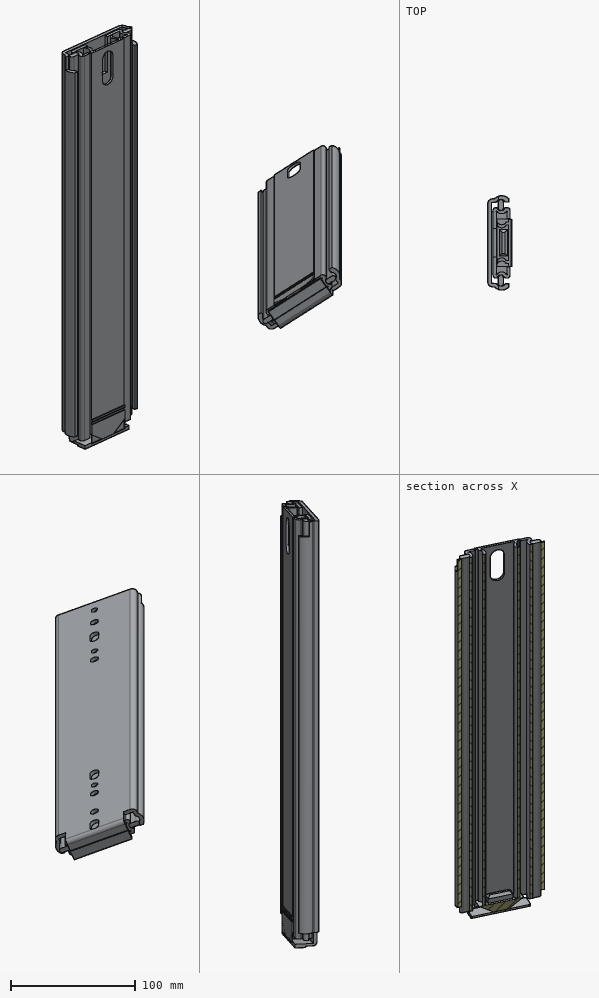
import cadquery as cq

LENGTH = 355.5
HALF_WIDTH = 38.0
DEPTH = 19.5

CAGE_X = 10.5
CAGE_RADIUS = 2.0
CAGE_BOTTOM = 8.2
CAGE_SEAT_Y = 26.0
CAGE_TIP_Y = 35.0

OUTER_SHEET = 3.2
OUTER_BOTTOM = 14.5
OUTER_CORNER_RADIUS = 4.3
FLANGE_Y = 35.5
RACE_X = 11.5
RACE_HALF_WIDTH = 5.7
SEAT_HALF_WIDTH = 3.5
LIP_END_Y = 32.7
NOTCH_HEIGHT = 12.0
NOTCH_X = 9.0
NOTCH_WALL_Y = 28.5

TONGUE_WIDTH = 50.5
TONGUE_END_X = 18.0
TONGUE_FLOOR = 1.0
TONGUE_SHEET = 2.0
TONGUE_BEND_RADIUS = 3.5
PAD_START_X = 9.5

SMALL_HOLE_DIAMETER = 5.5
LARGE_HOLE_DIAMETER = 6.8
SLOT_WIDTH = 7.5
SLOT_LENGTH = 13.0
SMALL_HOLES_Z = (343.0, 280.0, 72.5)
LARGE_HOLES_Z = (324.3, 266.7, 59.7, 31.3)
SLOTS_Z = (302.0, 88.5, 11.5)

MIDDLE_BOTTOM = CAGE_BOTTOM
MIDDLE_FLANGE_Y = 28.5
MIDDLE_BACK_X = 4.3
MIDDLE_INSIDE_X = 7.0
MIDDLE_FRONT_X = 18.0
MIDDLE_SHEET = 2.5
MIDDLE_CORNER_RADIUS = 2.5
GROOVE_HALF_WIDTH = 3.2
MIDDLE_LIP_END_Y = 19.5
MIDDLE_SHOULDER_Y = 25.5
CUTOUT_HEIGHT = 32.0
CUTOUT_WIDTH = 22.8

INNER_BOTTOM = 11.5
INNER_FRONT_X = 19.0
INNER_SHEET = 2.0
INNER_HALF_WIDTH = 19.0
INNER_RACE_X = 11.5
INNER_RACE_HALF_WIDTH = 3.5
INNER_RACE_DEPTH = 2.0
INNER_SHOULDER_Y = 16.7
INNER_RACE_SHEET = 2.5
RIDGES = ((3.2, 20.3), (22.5, 24.5))
BUMPER_BACK_X = 7.5
BUMPER_BOTTOM = 3.2
BUMPER_TOP_WIDTH = 38.5
BUMPER_BOTTOM_WIDTH = 14.2
STOP_X = (9.5, 16.0)
STOP_WIDTH = 21.5
STOP_TOP = 17.8
STOP_CHAMFER = 2.0
WINDOW_WIDTH = 12.0
WINDOW_Z = (320.8, 350.5)


def extrude_section(half_outline, bottom):
    """Close a +Y half outline along Y = 0, mirror it and extrude it up to the top of the slide."""
    half = half_outline.close().extrude(LENGTH - bottom)
    return half.union(half.mirror("XZ"))


def box_between(x_range, width, z_range):
    """Box centred on Y = 0."""
    x_min, x_max = x_range
    z_min, z_max = z_range
    box = cq.Workplane("XY").box(x_max - x_min, width, z_max - z_min, centered=(False, True, False))
    return box.translate((x_min, 0, z_min))


def holes_along_x(diameter, heights):
    """Cutting cylinders through the full depth at the given heights."""
    return cq.Workplane("YZ").pushPoints([(0, z) for z in heights]).circle(diameter / 2).extrude(DEPTH)


def outer_section():
    race_start_x = RACE_X - RACE_HALF_WIDTH
    race_end_x = RACE_X + RACE_HALF_WIDTH
    bend_offset = OUTER_CORNER_RADIUS * (1 - 0.5**0.5)
    return (
        cq.Workplane("XY", origin=(0, 0, OUTER_BOTTOM))
        .lineTo(0, FLANGE_Y - OUTER_CORNER_RADIUS)
        .threePointArc((bend_offset, FLANGE_Y - bend_offset), (OUTER_CORNER_RADIUS, FLANGE_Y))
        .lineTo(race_start_x, FLANGE_Y)
        .threePointArc((RACE_X, HALF_WIDTH), (race_end_x, FLANGE_Y))
        .lineTo(race_end_x, LIP_END_Y)
        .lineTo(CAGE_X + SEAT_HALF_WIDTH, LIP_END_Y)
        .threePointArc((CAGE_X, CAGE_TIP_Y), (CAGE_X - SEAT_HALF_WIDTH, LIP_END_Y))
        .lineTo(OUTER_SHEET, FLANGE_Y - OUTER_SHEET)
        .lineTo(OUTER_SHEET, 0)
    )


def make_tongue():
    web = box_between((0, OUTER_SHEET), TONGUE_WIDTH, (TONGUE_FLOOR, OUTER_BOTTOM))
    floor = box_between((0, TONGUE_END_X), TONGUE_WIDTH, (TONGUE_FLOOR, TONGUE_FLOOR + TONGUE_SHEET))
    bent = web.union(floor).edges("|Y and <X and <Z").fillet(TONGUE_BEND_RADIUS)
    pad = box_between((PAD_START_X, TONGUE_END_X), TONGUE_WIDTH, (0, TONGUE_FLOOR))
    return bent.union(pad)


def make_outer():
    rail = extrude_section(outer_section(), OUTER_BOTTOM).union(make_tongue())
    notch_height_range = (LENGTH - NOTCH_HEIGHT, LENGTH)
    notch = box_between((NOTCH_X, DEPTH), 2 * HALF_WIDTH, notch_height_range)
    notch = notch.cut(box_between((NOTCH_X, DEPTH), 2 * NOTCH_WALL_Y, notch_height_range))
    web_slots = (
        cq.Workplane("YZ")
        .pushPoints([(0, z) for z in SLOTS_Z])
        .slot2D(SLOT_LENGTH, SLOT_WIDTH, 90)
        .extrude(OUTER_SHEET)
    )
    rail = rail.cut(notch).cut(web_slots)
    rail = rail.cut(holes_along_x(SMALL_HOLE_DIAMETER, SMALL_HOLES_Z))
    return rail.cut(holes_along_x(LARGE_HOLE_DIAMETER, LARGE_HOLES_Z))


def middle_section():
    bend_offset = MIDDLE_CORNER_RADIUS * (1 - 0.5**0.5)
    bend_y = MIDDLE_FLANGE_Y - MIDDLE_CORNER_RADIUS
    lip_inner_x = MIDDLE_FRONT_X - MIDDLE_SHEET
    underside_x = (MIDDLE_INSIDE_X + lip_inner_x) / 2
    return (
        cq.Workplane("XY", origin=(0, 0, MIDDLE_BOTTOM))
        .moveTo(MIDDLE_BACK_X, 0)
        .lineTo(MIDDLE_BACK_X, bend_y)
        .threePointArc(
            (MIDDLE_BACK_X + bend_offset, MIDDLE_FLANGE_Y - bend_offset),
            (MIDDLE_BACK_X + MIDDLE_CORNER_RADIUS, MIDDLE_FLANGE_Y),
        )
        .lineTo(CAGE_X - GROOVE_HALF_WIDTH, MIDDLE_FLANGE_Y)
        .threePointArc((CAGE_X, CAGE_SEAT_Y), (CAGE_X + GROOVE_HALF_WIDTH, MIDDLE_FLANGE_Y))
        .lineTo(MIDDLE_FRONT_X - MIDDLE_CORNER_RADIUS, MIDDLE_FLANGE_Y)
        .threePointArc(
            (MIDDLE_FRONT_X - bend_offset, MIDDLE_FLANGE_Y - bend_offset),
            (MIDDLE_FRONT_X, bend_y),
        )
        .lineTo(MIDDLE_FRONT_X, MIDDLE_LIP_END_Y)
        .lineTo(lip_inner_x, MIDDLE_LIP_END_Y)
        .lineTo(lip_inner_x, MIDDLE_SHOULDER_Y)
        .threePointArc((underside_x, CAGE_SEAT_Y - MIDDLE_SHEET), (MIDDLE_INSIDE_X, MIDDLE_SHOULDER_Y))
        .lineTo(MIDDLE_INSIDE_X, 0)
    )


def make_middle():
    rail = extrude_section(middle_section(), MIDDLE_BOTTOM)
    cutout = box_between((MIDDLE_BACK_X, MIDDLE_INSIDE_X), CUTOUT_WIDTH, (LENGTH - CUTOUT_HEIGHT, LENGTH))
    return rail.cut(cutout)


def inner_section():
    web_x = INNER_FRONT_X - INNER_SHEET
    race_start_x = INNER_RACE_X - INNER_RACE_HALF_WIDTH
    race_end_x = INNER_RACE_X + INNER_RACE_HALF_WIDTH
    race_floor_y = INNER_SHOULDER_Y - INNER_RACE_DEPTH
    underside_y = INNER_SHOULDER_Y - INNER_RACE_SHEET
    return (
        cq.Workplane("XY", origin=(0, 0, INNER_BOTTOM))
        .moveTo(INNER_FRONT_X, 0)
        .lineTo(INNER_FRONT_X, INNER_HALF_WIDTH)
        .lineTo(web_x, INNER_HALF_WIDTH)
        .lineTo(web_x, INNER_SHOULDER_Y)
        .lineTo(race_end_x, INNER_SHOULDER_Y)
        .threePointArc((INNER_RACE_X, race_floor_y), (race_start_x, INNER_SHOULDER_Y))
        .lineTo(race_start_x, underside_y)
        .threePointArc((INNER_RACE_X, race_floor_y - INNER_RACE_SHEET), (race_end_x, underside_y))
        .lineTo(web_x, underside_y)
        .lineTo(web_x, 0)
    )


def make_bumper():
    """Wedge closing the bottom end of the inner rail, with a chamfered stop on top."""
    wedge = (
        cq.Workplane("YZ", origin=(BUMPER_BACK_X, 0, 0))
        .moveTo(-BUMPER_TOP_WIDTH / 2, INNER_BOTTOM)
        .lineTo(BUMPER_TOP_WIDTH / 2, INNER_BOTTOM)
        .lineTo(BUMPER_BOTTOM_WIDTH / 2, BUMPER_BOTTOM)
        .lineTo(-BUMPER_BOTTOM_WIDTH / 2, BUMPER_BOTTOM)
        .close()
        .extrude(INNER_FRONT_X - BUMPER_BACK_X)
    )
    stop = box_between(STOP_X, STOP_WIDTH, (INNER_BOTTOM, STOP_TOP))
    return wedge.union(stop.faces(">Z").edges().chamfer(STOP_CHAMFER))


def make_window():
    bottom, top = WINDOW_Z
    return (
        cq.Workplane("YZ", origin=(0, 0, (bottom + top) / 2))
        .slot2D(top - bottom, WINDOW_WIDTH, 90)
        .extrude(DEPTH)
    )


def make_inner():
    rail = extrude_section(inner_section(), INNER_BOTTOM).union(make_bumper())
    for z_range in RIDGES:
        rail = rail.union(box_between((INNER_FRONT_X, DEPTH), 2 * INNER_HALF_WIDTH, z_range))
    return rail.cut(make_window())


def make_cage(side):
    """Cage strip on the +Y (side = 1) or -Y (side = -1) edge."""
    section_length = CAGE_TIP_Y - CAGE_SEAT_Y
    center_y = CAGE_TIP_Y - section_length / 2
    return (
        cq.Workplane("XY", origin=(CAGE_X, side * center_y, CAGE_BOTTOM))
        .slot2D(section_length, 2 * CAGE_RADIUS, 90)
        .extrude(LENGTH - CAGE_BOTTOM)
    )


outer_rail = make_outer()
middle_rail = make_middle()
inner_rail = make_inner()
cages = [make_cage(side) for side in (1, -1)]

result = cq.Compound.makeCompound(
    [outer_rail.val(), middle_rail.val(), inner_rail.val(), *[cage.val() for cage in cages]]
)